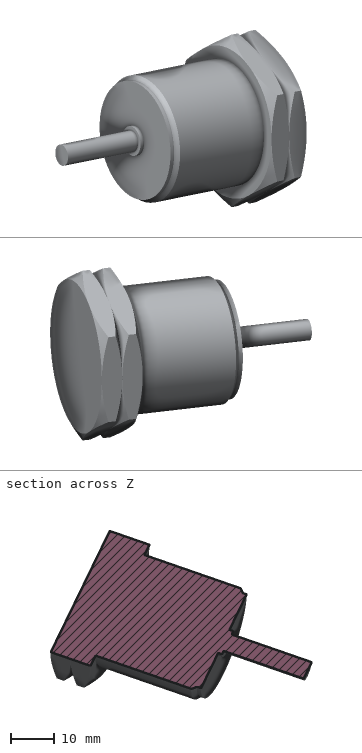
import cadquery as cq
import math

total_length = 57.0
nut_thickness = 5.0
shoulder_end = 35.0
cap_end = 36.0
gland_end = 37.0

nut_across_flats = 36.0
nut_count = 2
nut_chamfer_angle = 30.0

body_diameter = 30.0
cap_diameter = 28.0
gland_diameter = 7.0
cable_diameter = 5.0
shoulder_chamfer = (body_diameter - cap_diameter) / 2

nut_across_corners = nut_across_flats / math.cos(math.radians(30))


def cylinder(diameter, start, end):
    """Solid cylinder between two stations; stations advance toward -Y."""
    return cq.Workplane("XZ", origin=(0, -start, 0)).circle(diameter / 2).extrude(end - start)


def hex_nut(start):
    """Nut with flats facing +/-X and both faces turned down to the across-flats circle."""
    flat_radius = nut_across_flats / 2
    corner_radius = nut_across_corners / 2
    chamfer_drop = (corner_radius - flat_radius) * math.tan(math.radians(nut_chamfer_angle))
    end = start + nut_thickness
    hexagon = (
        cq.Workplane("XZ", origin=(0, -start, 0))
        .transformed(rotate=(0, 0, 90))
        .polygon(6, nut_across_corners)
        .extrude(nut_thickness)
    )
    envelope = (
        cq.Workplane("XY")
        .polyline([
            (0, -start),
            (flat_radius, -start),
            (corner_radius, -start - chamfer_drop),
            (corner_radius, -end + chamfer_drop),
            (flat_radius, -end),
            (0, -end),
        ])
        .close()
        .revolve(360, (0, 0, 0), (0, 1, 0))
    )
    return hexagon.intersect(envelope)


result = cylinder(body_diameter, 0, shoulder_end).faces("<Y").chamfer(shoulder_chamfer)

result = result.union(cylinder(cap_diameter, 0, cap_end))
result = result.union(cylinder(gland_diameter, 0, gland_end))
result = result.union(cylinder(cable_diameter, 0, total_length))

for index in range(nut_count):
    result = result.union(hex_nut(index * nut_thickness))